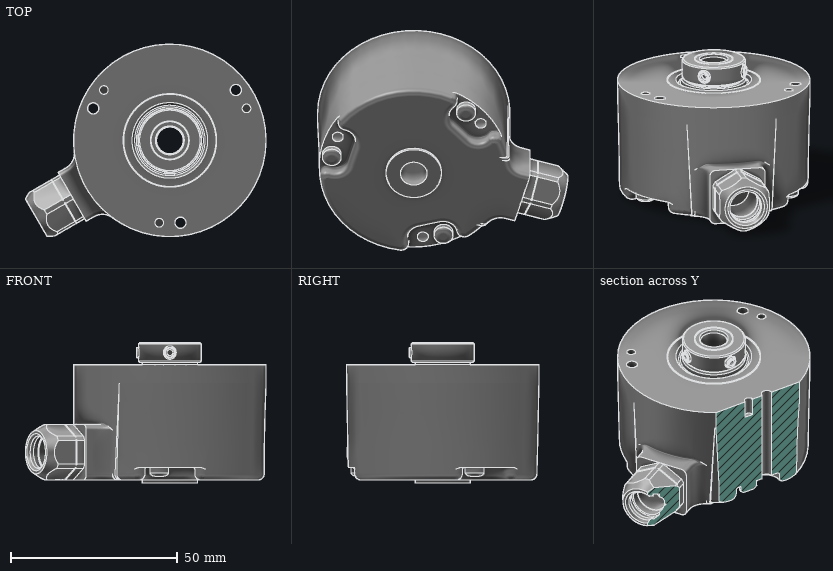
import cadquery as cq
import math

pick_slack = 0.1

cover_bottom_z = 0.9
flange_bottom_z = 30.0
flange_top_z = 35.7
collar_bottom_z = 36.3
top_z = 42.3

flange_radius = 29.0
cover_bottom_radius = 28.4
cover_edge_round = 1.9

seam_radius = 14.1
seam_width = 0.2
seam_depth = 0.3
recess_top_radius = 11.4
recess_floor_radius = 10.6
recess_depth = 1.0
hub_top_radius = 9.6
hub_foot_radius = 10.1

shaft_radius = 8.35
bore_radius = 4.0
bore_chamfer_width = 0.35
bore_chamfer_depth = 0.8
collar_radius = 9.5
collar_chamfer = 0.4
collar_seam_radius = 5.85

set_screw_z = (collar_bottom_z + top_z) / 2
set_screw_angles = (180, 270)
set_screw_radius = 1.6
set_screw_end = 10.1
set_screw_length = 4.0
set_screw_chamfer = 0.25
socket_radius = 0.9
socket_depth = 1.5
screw_countersink_radius = 2.03
countersink_depth = 0.8

notch_angles = (30, 150, 270)
hole_circle_radius = 25.0
hole_offset = 3.2
through_hole_radius = 1.65
blind_hole_radius = 1.3
blind_hole_depth = flange_top_z - flange_bottom_z
notch_top_z = 4.7
notch_half_width = 7.5
notch_wall_distance = 19.5
notch_corner_radius = 4.2
notch_ceiling_round = 0.5
notch_flare_radius = 2.3
head_radius = 2.85
head_rim_z = 3.0
head_bottom_z = 2.05
head_flat_radius = 1.2
head_dome_bulge = 0.2

gland_angle = 210
block_face = 34.0
block_half_width = 8.5
gland_z = 9.3
block_top_z = 2 * gland_z - cover_bottom_z
block_flare_radius = 5.0
block_edge_round = 1.7
block_root_round = 0.45
outlet_half_width_bottom = 12.3
outlet_half_width_top = 13.75
outlet_embed = 6.0
gland_across_flats = 15.2
gland_corner_radius = 8.37
gland_seam = 36.7
gland_seam_width = 0.2
gland_seam_depth = 0.15
gland_end = 46.5
gland_chamfer_start = 43.2
gland_end_radius = 6.5

entry_mouth_radius = 5.6
entry_lip_radius = 4.85
entry_groove_radius = 5.4
entry_bore_radius = 4.7
entry_lip_depth = 1.9
entry_groove_depth = 3.75
entry_step_depth = 6.3
entry_depth = 18.0


def turned(points):
    """Solid of revolution about Z from (radius, z) points."""
    return cq.Workplane("XZ").polyline(points).close().revolve(360, (0, 0), (0, 1))


def turned_along_x(points):
    """Solid of revolution about X from (x, radius) points."""
    return cq.Workplane("XY").polyline(points).close().revolve(360, (0, 0), (1, 0))


def rod(radius, bottom, top):
    return cq.Workplane("XY").workplane(offset=bottom).circle(radius).extrude(top - bottom)


def ring(outer, inner, bottom, top):
    return rod(outer, bottom, top).cut(rod(inner, bottom, top))


def spun(shape, angle):
    return shape.rotate((0, 0, 0), (0, 0, 1), angle)


def tapered_cover():
    return turned([
        (0, cover_bottom_z),
        (cover_bottom_radius, cover_bottom_z),
        (flange_radius, flange_bottom_z),
        (0, flange_bottom_z),
    ])


def notch_cutter():
    """Notch pointing along +X with rounded inner corners."""
    length = flange_radius - notch_wall_distance
    box = cq.Workplane("XY").box(length, 2 * notch_half_width, notch_top_z, centered=(False, True, False))
    box = box.translate((notch_wall_distance, 0, 0))
    return box.edges("|Z and <X").fillet(notch_corner_radius)


def is_notch_mouth(point):
    """True for the centre of an upright edge where a notch side meets the cover wall."""
    upright = cover_bottom_z + pick_slack < point.z < notch_top_z - pick_slack
    return upright and math.hypot(point.x, point.y) > cover_bottom_radius - pick_slack


def is_ceiling_back(point):
    """True for the centre of the straight edge where a notch ceiling meets its back wall."""
    at_ceiling = abs(point.z - notch_top_z) < pick_slack
    return at_ceiling and math.hypot(point.x, point.y) < notch_wall_distance + pick_slack


def cover_screw():
    """Button-head cover screw hanging below the notch ceiling."""
    dome_mid_radius = (head_radius + head_flat_radius) / 2 + head_dome_bulge
    dome_mid_z = (head_rim_z + head_bottom_z) / 2 - head_dome_bulge
    return (
        cq.Workplane("XZ")
        .moveTo(0, head_bottom_z)
        .lineTo(head_flat_radius, head_bottom_z)
        .threePointArc((dome_mid_radius, dome_mid_z), (head_radius, head_rim_z))
        .lineTo(head_radius, notch_top_z)
        .lineTo(0, notch_top_z)
        .close()
        .revolve(360, (0, 0), (0, 1))
    )


def outlet_wall():
    """Upright stretch of wall behind the outlet, between two drafted sides."""
    wall = rod(flange_radius, cover_bottom_z, flange_bottom_z)
    wall = wall.faces("<Z").edges().fillet(cover_edge_round)
    wedge = (
        cq.Workplane("YZ")
        .polyline([
            (-outlet_half_width_bottom, cover_bottom_z),
            (outlet_half_width_bottom, cover_bottom_z),
            (outlet_half_width_top, flange_bottom_z),
            (-outlet_half_width_top, flange_bottom_z),
        ])
        .close()
        .extrude(flange_radius)
    )
    return wall.intersect(wedge)


def outlet():
    """Outlet wall and block, with a small fillet where the block's top meets the wall."""
    joined = outlet_wall().union(outlet_block())
    root_box = cq.selectors.BoxSelector(
        (flange_radius - outlet_embed, -block_half_width, block_top_z - pick_slack),
        (flange_radius + pick_slack, block_half_width, block_top_z + pick_slack),
    )
    return joined.edges(root_box).fillet(block_root_round)


def outlet_block():
    """Block pointing along +X, its sides flaring tangentially into the round wall."""
    flare_y = block_half_width + block_flare_radius
    flare_reach = flange_radius + block_flare_radius
    flare_x = math.sqrt(flare_reach**2 - flare_y**2)
    flare_angle = math.atan2(flare_y, flare_x)
    foot_x = flange_radius * math.cos(flare_angle)
    foot_y = flange_radius * math.sin(flare_angle)
    mid_angle = (flare_angle - 1.5 * math.pi) / 2
    mid_x = flare_x + block_flare_radius * math.cos(mid_angle)
    mid_y = flare_y + block_flare_radius * math.sin(mid_angle)
    inner_x = foot_x - outlet_embed
    block = (
        cq.Workplane("XY")
        .workplane(offset=cover_bottom_z)
        .moveTo(block_face, -block_half_width)
        .lineTo(block_face, block_half_width)
        .lineTo(flare_x, block_half_width)
        .threePointArc((mid_x, mid_y), (foot_x, foot_y))
        .lineTo(inner_x, foot_y)
        .lineTo(inner_x, -foot_y)
        .lineTo(foot_x, -foot_y)
        .threePointArc((mid_x, -mid_y), (flare_x, -block_half_width))
        .close()
        .extrude(block_top_z - cover_bottom_z)
    )
    sides = cq.selectors.BoxSelector(
        (foot_x + pick_slack, -flange_radius, 0),
        (block_face - pick_slack, flange_radius, flange_bottom_z),
    )
    return block.edges("#Z").edges(sides).fillet(block_edge_round)


def gland():
    """Hexagonal cable gland along +X with rounded corners and a conical nose."""
    corner_distance = gland_across_flats / math.cos(math.pi / 6)
    start = block_face - outlet_embed
    hexagon = (
        cq.Workplane("YZ")
        .workplane(offset=start)
        .polygon(6, corner_distance)
        .extrude(gland_end - start)
    )
    envelope = turned_along_x([
        (start, 0),
        (start, gland_corner_radius),
        (gland_chamfer_start, gland_corner_radius),
        (gland_end, gland_end_radius),
        (gland_end, 0),
    ])
    waist = (
        cq.Workplane("YZ")
        .workplane(offset=gland_seam)
        .circle(corner_distance)
        .polygon(6, corner_distance - 2 * gland_seam_depth)
        .extrude(gland_seam_width)
    )
    corner_up = 90
    nut = hexagon.intersect(envelope).cut(waist).rotate((0, 0, 0), (1, 0, 0), corner_up)
    return nut.translate((0, 0, gland_z))


def cable_entry():
    chamfer_x = gland_end - (entry_mouth_radius - entry_lip_radius)
    lip_x = gland_end - entry_lip_depth
    groove_x = gland_end - entry_groove_depth
    step_x = gland_end - entry_step_depth
    bottom_x = gland_end - entry_depth
    return turned_along_x([
        (gland_end, 0),
        (gland_end, entry_mouth_radius),
        (chamfer_x, entry_lip_radius),
        (lip_x, entry_lip_radius),
        (lip_x, entry_groove_radius),
        (groove_x, entry_groove_radius),
        (groove_x, entry_lip_radius),
        (step_x, entry_lip_radius),
        (step_x, entry_bore_radius),
        (bottom_x, entry_bore_radius),
        (bottom_x, 0),
    ]).translate((0, 0, gland_z))


def housing():
    body = tapered_cover()
    for angle in notch_angles:
        body = body.cut(spun(notch_cutter(), angle))
    mouth_edges = [edge for edge in body.edges().vals() if is_notch_mouth(edge.Center())]
    body = body.newObject(mouth_edges).fillet(notch_flare_radius)
    body = body.faces("<Z").edges().fillet(cover_edge_round)
    ceiling_edges = [edge for edge in body.edges().vals() if is_ceiling_back(edge.Center())]
    body = body.newObject(ceiling_edges).fillet(notch_ceiling_round)
    for part in (outlet(), gland()):
        body = body.union(spun(part, gland_angle))
    body = body.cut(spun(cable_entry(), gland_angle))
    body = body.union(rod(flange_radius, flange_bottom_z, flange_top_z))
    recess = turned([
        (hub_top_radius, flange_top_z),
        (hub_foot_radius, flange_top_z - recess_depth),
        (recess_floor_radius, flange_top_z - recess_depth),
        (recess_top_radius, flange_top_z),
    ])
    seam = ring(seam_radius, seam_radius - seam_width, flange_top_z - seam_depth, flange_top_z)
    return body.cut(recess).cut(seam)


def add_fastening(body):
    """Through holes, blind holes and cover screws of the three mounting points."""
    x = math.sqrt(hole_circle_radius**2 - hole_offset**2)
    through = rod(through_hole_radius, 0, flange_top_z).translate((x, hole_offset, 0))
    blind = rod(blind_hole_radius, flange_top_z - blind_hole_depth, flange_top_z)
    blind = blind.translate((x, -hole_offset, 0))
    screw = cover_screw().translate((x, -hole_offset, 0))
    for angle in notch_angles:
        body = body.cut(spun(through, angle)).cut(spun(blind, angle)).union(spun(screw, angle))
    return body


def shaft_and_collar():
    collar = rod(collar_radius, collar_bottom_z, top_z).faces("<Z or >Z").edges().chamfer(collar_chamfer)
    seam = ring(collar_seam_radius, collar_seam_radius - seam_width, top_z - seam_depth, top_z)
    assembly = rod(shaft_radius, 0, collar_bottom_z).union(collar).cut(seam)
    for angle in set_screw_angles:
        assembly = add_set_screw(assembly, angle)
    return assembly


def add_set_screw(body, angle):
    """Socket set screw standing slightly proud of a countersunk hole in the collar."""
    sink_floor = collar_radius - countersink_depth
    countersink = turned_along_x([
        (sink_floor, 0),
        (sink_floor, set_screw_radius),
        (collar_radius, screw_countersink_radius),
        (set_screw_end, screw_countersink_radius),
        (set_screw_end, 0),
    ])
    screw = turned_along_x([
        (set_screw_end - set_screw_length, 0),
        (set_screw_end - set_screw_length, set_screw_radius),
        (set_screw_end - set_screw_chamfer, set_screw_radius),
        (set_screw_end, set_screw_radius - set_screw_chamfer),
        (set_screw_end, 0),
    ])
    socket_floor = set_screw_end - socket_depth
    socket = turned_along_x([
        (socket_floor, 0),
        (socket_floor, socket_radius),
        (set_screw_end, socket_radius),
        (set_screw_end, 0),
    ])
    lift = (0, 0, set_screw_z)
    body = body.cut(spun(countersink.translate(lift), angle))
    return body.union(spun(screw.translate(lift), angle)).cut(spun(socket.translate(lift), angle))


def shaft_bore():
    return turned([
        (0, 0),
        (bore_radius, 0),
        (bore_radius, top_z - bore_chamfer_depth),
        (bore_radius + bore_chamfer_width, top_z),
        (0, top_z),
    ])


result = add_fastening(housing()).union(shaft_and_collar()).cut(shaft_bore())